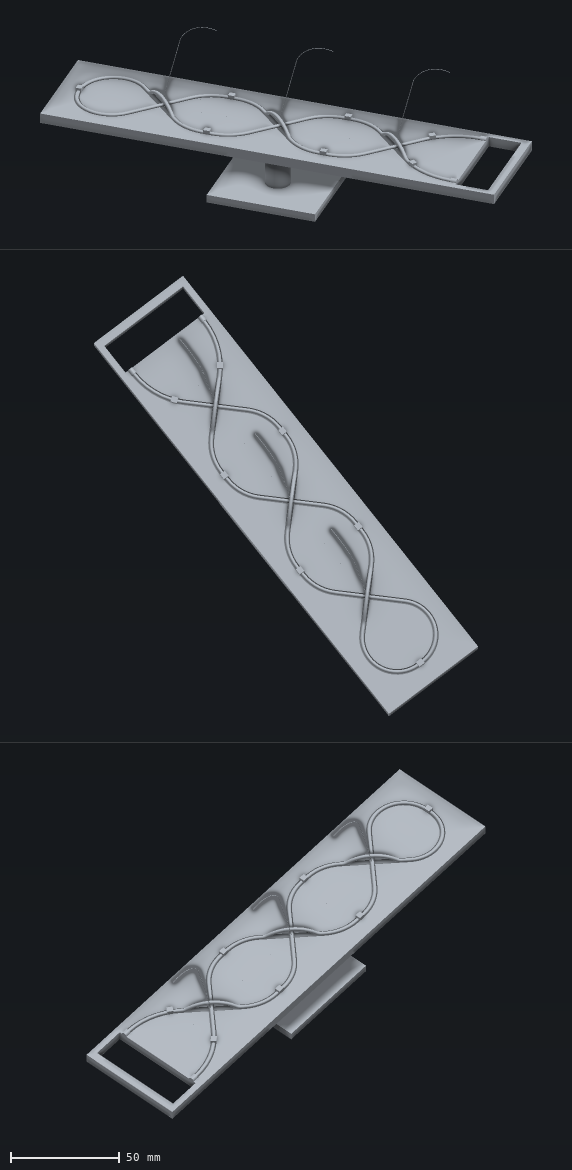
import cadquery as cq
import math


PLATE_LENGTH = 222.0
PLATE_WIDTH = 52.0
PLATE_THICKNESS = 5.0
SLOT_START = 202.0
SLOT_LENGTH = 16.0
SLOT_WIDTH = 46.0
POST_DIAMETER = 12.0
POST_HEIGHT = 25.0
POST_X = 107.0
FOOT_LENGTH = 53.0
FOOT_WIDTH = 44.0
FOOT_THICKNESS = 4.0
FOOT_CENTER_X = 106.5
PIN_HOLE_DIAMETER = 0.22
PIN_HOLE_POSITIONS = (69.8, 82.0, 122.0, 141.9, 176.5)

TUBE_DIAMETER = 1.7
GROOVE_DIAMETER = 2.7
COLLAR_LENGTH = 3.0
FIRST_CROSSING_X = 50.0
CROSSING_PITCH = 57.0
CROSSINGS = [FIRST_CROSSING_X + i * CROSSING_PITCH for i in range(3)]
LOBE_LEG = 10.5
LOOP_LEFT_X = 10.0
LOOP_OFFSET = 17.2
LOBE_OFFSET = 17.0
ARM_OFFSET = 20.4
BRIDGE_RISE = 4.65
BRIDGE_HALF_LENGTH = 14.0
BRIDGE_FOOT_RADIUS = 5.0

CLIP_LENGTH = 3.0
CLIP_WIDTH = GROOVE_DIAMETER
CLIP_HEIGHT = 2.0
ARM_CLIP_ANGLE = 37.0

STEM_DIAMETER = 0.3
CROWN_DIAMETER = 0.22
WHIP_TOP = 45.69
STEM_LEAN = 9.4
STEM_HEIGHT = 37.3
CROWN_RADIUS = 15.0
WHIP_REACH = 27.2

SIN_45 = math.sin(math.pi / 4)
ARC_CLIMB = 1 - SIN_45

LOOP_RADIUS = (FIRST_CROSSING_X - LOOP_LEFT_X - LOOP_OFFSET) / (2 * SIN_45)
LOOP_LEG = LOOP_OFFSET - LOOP_RADIUS * ARC_CLIMB
LOOP_CENTER_X = LOOP_LEFT_X + LOOP_RADIUS
LOBE_RADIUS = (LOBE_OFFSET - LOBE_LEG) / ARC_CLIMB
ARM_CENTER_X = SLOT_START - COLLAR_LENGTH
ARM_RADIUS = (ARM_CENTER_X - CROSSINGS[-1] - ARM_OFFSET) / (2 * SIN_45 - 1)
ARM_LEG = ARM_OFFSET - ARM_RADIUS * ARC_CLIMB


def line(start, end):
    return cq.Edge.makeLine(cq.Vector(start), cq.Vector(end))


def arc(start, middle, end):
    return cq.Edge.makeThreePointArc(cq.Vector(start), cq.Vector(middle), cq.Vector(end))


def turn(center_x, radius, outer_offset, side, start_angle, end_angle):
    """Horizontal arc whose outermost point lies outer_offset from the middle line."""
    center_y = outer_offset - radius
    points = []
    for angle in (start_angle, (start_angle + end_angle) / 2, end_angle):
        x = center_x + radius * math.cos(math.radians(angle))
        y = center_y + radius * math.sin(math.radians(angle))
        points.append((x, side * y, 0))
    return arc(*points)


def bridge(crossing_x):
    """Hump over a crossing: a crown arc between two foot arcs, all meeting tangentially."""
    radius_sum = (BRIDGE_HALF_LENGTH**2 + BRIDGE_RISE**2) / (2 * BRIDGE_RISE)
    slope = math.asin(BRIDGE_HALF_LENGTH / radius_sum)

    def foot_point(angle, end):
        along = end * (BRIDGE_HALF_LENGTH - BRIDGE_FOOT_RADIUS * math.sin(angle)) * SIN_45
        return (crossing_x + along, -along, BRIDGE_FOOT_RADIUS * (1 - math.cos(angle)))

    rise = [foot_point(angle, -1) for angle in (0, slope / 2, slope)]
    fall = [foot_point(angle, 1) for angle in (slope, slope / 2, 0)]
    crown = (rise[-1], (crossing_x, 0, BRIDGE_RISE), fall[0])
    return [arc(*rise), arc(*crown), arc(*fall)]


def crossing(crossing_x, leg_before, leg_after, side, bridged):
    """Both legs of one strand through a crossing, starting on the given side."""
    start = (crossing_x - leg_before, side * leg_before, 0)
    end = (crossing_x + leg_after, -side * leg_after, 0)
    if not bridged:
        return [line(start, end)]
    hump = bridge(crossing_x)
    return [
        line(start, hump[0].startPoint()),
        *hump,
        line(hump[-1].endPoint(), end),
    ]


def lobe(left_x, right_x, side):
    """Bulge between two crossings: two arcs with a short straight between them."""
    arc_run = LOBE_RADIUS * SIN_45
    left_center = left_x + LOBE_LEG + arc_run
    right_center = right_x - LOBE_LEG - arc_run
    offset = side * LOBE_OFFSET
    return [
        turn(left_center, LOBE_RADIUS, LOBE_OFFSET, side, 135, 90),
        line((left_center, offset, 0), (right_center, offset, 0)),
        turn(right_center, LOBE_RADIUS, LOBE_OFFSET, side, 90, 45),
    ]


def strand_path(side, with_bridges):
    """Path from the left end of the loop to an open arm; side is where its loop half lies."""
    edges = [
        line((LOOP_LEFT_X, 0, 0), (LOOP_LEFT_X, side * (LOOP_OFFSET - LOOP_RADIUS), 0)),
        turn(LOOP_CENTER_X, LOOP_RADIUS, LOOP_OFFSET, side, 180, 45),
    ]
    for i, crossing_x in enumerate(CROSSINGS):
        if i > 0:
            edges += lobe(CROSSINGS[i - 1], crossing_x, side)
        goes_over = with_bridges and side > 0
        leg_before = LOOP_LEG if i == 0 else LOBE_LEG
        leg_after = ARM_LEG if crossing_x == CROSSINGS[-1] else LOBE_LEG
        edges += crossing(crossing_x, leg_before, leg_after, side, goes_over)
        side = -side
    edges.append(turn(ARM_CENTER_X, ARM_RADIUS, ARM_OFFSET, side, 135, 90))
    edges.append(line((ARM_CENTER_X, side * ARM_OFFSET, 0), (SLOT_START, side * ARM_OFFSET, 0)))
    return cq.Wire.assembleEdges(edges)


def round_strands(diameter, with_bridges):
    """Round bar that follows both strands, joined at the left end of the loop."""
    strands = []
    for side in (1, -1):
        start = cq.Workplane("XZ", origin=(LOOP_LEFT_X, 0, 0)).circle(diameter / 2)
        strands.append(start.sweep(cq.Workplane(strand_path(side, with_bridges))))
    return strands[0].union(strands[1])


def make_holder():
    plate = cq.Workplane("XY").box(
        PLATE_LENGTH, PLATE_WIDTH, PLATE_THICKNESS, centered=(False, True, False)
    ).translate((0, 0, -PLATE_THICKNESS))
    slot = cq.Workplane("XY").box(
        SLOT_LENGTH, SLOT_WIDTH, PLATE_THICKNESS, centered=(False, True, False)
    ).translate((SLOT_START, 0, -PLATE_THICKNESS))
    pin_holes = (
        cq.Workplane("XY")
        .pushPoints([(x, 0) for x in PIN_HOLE_POSITIONS])
        .circle(PIN_HOLE_DIAMETER / 2)
        .extrude(-PLATE_THICKNESS)
    )
    post = (
        cq.Workplane("XY", origin=(POST_X, 0, -PLATE_THICKNESS))
        .circle(POST_DIAMETER / 2)
        .extrude(-POST_HEIGHT)
    )
    foot = (
        cq.Workplane("XY", origin=(FOOT_CENTER_X, 0, -PLATE_THICKNESS - POST_HEIGHT))
        .rect(FOOT_LENGTH, FOOT_WIDTH)
        .extrude(-FOOT_THICKNESS)
    )
    groove = round_strands(GROOVE_DIAMETER, False)
    return plate.cut(slot).cut(pin_holes).cut(groove).union(post).union(foot)


def clip(x, y, angle):
    """Block over the tube, turned so that its length follows the tube."""
    return (
        cq.Workplane("XY")
        .rect(CLIP_LENGTH, CLIP_WIDTH)
        .extrude(CLIP_HEIGHT)
        .rotate((0, 0, 0), (0, 0, 1), angle)
        .translate((x, y, 0))
    )


def make_tube():
    """Tube with a collar on each open end and clip blocks along it."""
    tube = round_strands(TUBE_DIAMETER, True).union(clip(LOOP_LEFT_X, 0, 90))
    arm_clip_x = ARM_CENTER_X - ARM_RADIUS * math.sin(math.radians(ARM_CLIP_ANGLE))
    arm_clip_y = ARM_OFFSET - ARM_RADIUS * (1 - math.cos(math.radians(ARM_CLIP_ANGLE)))
    for side in (1, -1):
        collar = (
            cq.Workplane("YZ", origin=(SLOT_START, side * ARM_OFFSET, 0))
            .circle(GROOVE_DIAMETER / 2)
            .extrude(-COLLAR_LENGTH)
        )
        tube = tube.union(collar)
        for left_x, right_x in zip(CROSSINGS, CROSSINGS[1:]):
            tube = tube.union(clip((left_x + right_x) / 2, side * LOBE_OFFSET, 0))
        tube = tube.union(clip(arm_clip_x, side * arm_clip_y, side * ARM_CLIP_ANGLE))
    return tube


def make_whip(crossing_x):
    """Thin rod rooted in the lower strand of a crossing, through the upper one, leaning to +X."""
    apex_z = WHIP_TOP - CROWN_DIAMETER / 2
    center_z = apex_z - CROWN_RADIUS
    center_x = STEM_LEAN + math.sqrt(CROWN_RADIUS**2 - (STEM_HEIGHT - center_z) ** 2)
    tip_z = center_z + math.sqrt(CROWN_RADIUS**2 - (WHIP_REACH - center_x) ** 2)
    stem_top = cq.Vector(STEM_LEAN, 0, STEM_HEIGHT)
    stem = cq.Solid.makeCylinder(STEM_DIAMETER / 2, stem_top.Length, dir=stem_top)
    crown_path = (
        cq.Workplane("XZ")
        .moveTo(STEM_LEAN, STEM_HEIGHT)
        .threePointArc((center_x, apex_z), (WHIP_REACH, tip_z))
    )
    crown_direction = (STEM_HEIGHT - center_z, 0, center_x - STEM_LEAN)
    crown_start = cq.Plane(origin=stem_top, xDir=(0, 1, 0), normal=crown_direction)
    crown = cq.Workplane(crown_start).circle(CROWN_DIAMETER / 2).sweep(crown_path)
    whip = cq.Workplane(stem).union(crown)
    return whip.translate((crossing_x, 0, 0))


whips = [make_whip(crossing_x) for crossing_x in CROSSINGS]
holder = make_holder()
tube = make_tube()
for whip in whips:
    tube = tube.cut(whip)

result = cq.Compound.makeCompound([holder.val(), tube.val(), *[whip.val() for whip in whips]])